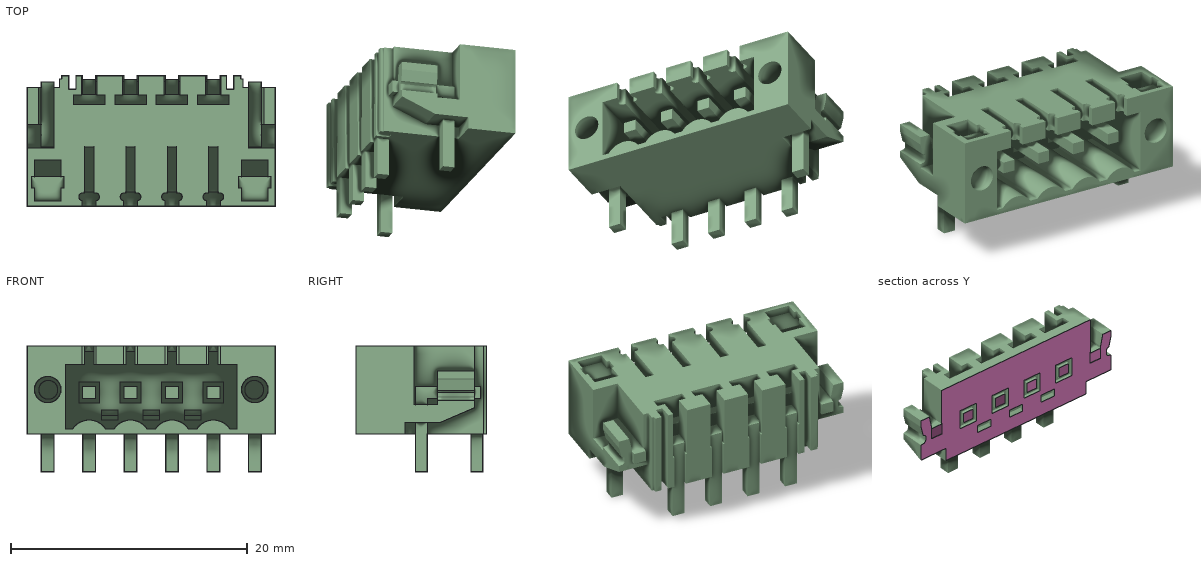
import cadquery as cq

LENGTH = 20.95
DEPTH = 11.05
HEIGHT = 7.45
PITCH = 3.5
CONTACT_COUNT = 4
CONTACT_XS = [(i - (CONTACT_COUNT - 1) / 2) * PITCH for i in range(CONTACT_COUNT)]
GAP_XS = [x + PITCH / 2 for x in CONTACT_XS[:-1]]
FLANGE_X = PITCH * (CONTACT_COUNT + 1) / 2
SIDES = (-1, 1)

PIN_WIDTH = 1.09
PIN_THICK = 1.0
PIN_BOTTOM_Z = -3.18
PIN_TOP_Z = 4.02
PIN_UNDER_Z = PIN_TOP_Z - PIN_THICK
CONTACT_TIP_Y = 1.2
CONTACT_BACK_Y = 10.73
ANCHOR_FRONT_Y = 5.03
ANCHOR_BACK_Y = 10.52

CAVITY_HALF = 7.23
CAVITY_FLOOR_Z = 0.46
CAVITY_CEILING_Z = 5.89
CAVITY_BACK_Y = 7.55
RIDGE_HALF = 1.38
RIDGE_HEIGHT = 0.73

RECESS_DEPTH = 0.42
PIN_RECESS_WIDTH = 1.74
PIN_RECESS_HEIGHT = 1.78
NOTCH_WIDTH = 1.4
NOTCH_BOTTOM_Z = 1.2
NOTCH_STEP_Z = 1.6
NOTCH_TOP_Z = 2.05

SLOT_WIDTH = 0.8
SLOT_BACK_Y = 5.03
SLOT_ROOF_Z = 7.0
LOBE_WIDTH = 1.74
LOBE_FRONT_Y = 0.46
LOBE_BACK_Y = 1.13
MOUTH_WIDTH = 1.2

T_HEAD_WIDTH = 2.66
T_HEAD_FRONT_Y = 8.59
T_HEAD_BACK_Y = 9.39
T_HEAD_FLOOR_Z = 5.24
T_STEM_WIDTH = 1.32
T_STEM_FRONT_Y = 9.45
LEDGE_STEP_Y = 10.55

STEP_OUTER_X = 7.75
STEP_OUTER_Y = 10.04
STEP_INNER_X = 7.56
STEP_INNER_Y = 10.77
END_SLOT_X = 6.66
END_SLOT_WIDTH = 0.6
END_SLOT_FRONT_Y = 9.89

SIDE_WALL_X = 8.21
SIDE_NOTCH_FRONT_Y = 4.9
ARM_TOP_Z = 2.5
ARM_UNDER_Z = 0.98
ARM_UNDER_FRONT_Y = 4.17
ARM_BEND_Y = 7.1
ARM_END_Z = 2.25
LATCH_FRONT_Y = 6.9
LATCH_TOP_Z = 5.35
LATCH_TOP_INNER_X = 9.53
LATCH_INNER_BEND_Z = 4.23
HOOK_SLOPE_TOP_Z = 4.67
HOOK_LIP_X = 10.25
HOOK_LIP_Z = 3.7
HOOK_LIP_RADIUS = 0.42
GROOVE_X = 9.97
GROOVE_TOP_Z = 3.55
GROOVE_BOTTOM_Z = 2.9
GROOVE_RADIUS = 0.25
RIM_Z = 2.83

SCREW_Z = 3.77
SCREW_DIAMETER = 2.22
SCREW_TIP_X = 8.7
SCREW_TIP_Z = 3.75
SCREW_TIP_DIAMETER = 1.6
SCREW_TIP_BACK_Y = 4.4
NUT_BACK_Y = 3.9
NUT_FRONT_Y = 2.51
NUT_WIDTH = 2.22
NUT_FLOOR_Z = 2.51
SHALLOW_DEPTH = 0.71
EAR_WIDTH = 2.72
EAR_FRONT_Y = 1.53
FRONT_STEP_WIDTH = 2.26
FRONT_STEP_Y = 0.46


def box(x_range, y_range, z_range):
    """Axis-aligned block spanning the three given ranges."""
    (x0, x1), (y0, y1), (z0, z1) = x_range, y_range, z_range
    return cq.Workplane("XY").box(x1 - x0, y1 - y0, z1 - z0, centered=False).translate((x0, y0, z0))


def box_at(x, width, y_range, z_range):
    """Block of the given width centred on x."""
    return box((x - width / 2, x + width / 2), y_range, z_range)


def along_y(x, z, diameter, y_range):
    """Round bar along Y."""
    y0, y1 = y_range
    return cq.Workplane("XZ", origin=(x, y0, z)).circle(diameter / 2).extrude(y0 - y1)


def bent_pin(x, vertical_front_y, y_range):
    """Pin with a vertical leg and a level arm that covers y_range."""
    leg_range = (vertical_front_y, vertical_front_y + PIN_THICK)
    leg = box_at(x, PIN_WIDTH, leg_range, (PIN_BOTTOM_Z, PIN_TOP_Z))
    arm = box_at(x, PIN_WIDTH, y_range, (PIN_UNDER_Z, PIN_TOP_Z))
    return leg.union(arm)


def contact_pin(x):
    return bent_pin(x, CONTACT_BACK_Y - PIN_THICK, (CONTACT_TIP_Y, CONTACT_BACK_Y))


def anchor_pin(x):
    return bent_pin(x, ANCHOR_FRONT_Y, (ANCHOR_FRONT_Y, ANCHOR_BACK_Y))


def outer_block():
    """Full-height block with wide front flanges and a stepped back edge."""
    right_half = [
        (LENGTH / 2, 0),
        (LENGTH / 2, SIDE_NOTCH_FRONT_Y),
        (SIDE_WALL_X, SIDE_NOTCH_FRONT_Y),
        (SIDE_WALL_X, STEP_OUTER_Y),
        (STEP_OUTER_X, STEP_OUTER_Y),
        (STEP_OUTER_X, STEP_INNER_Y),
        (STEP_INNER_X, STEP_INNER_Y),
        (STEP_INNER_X, DEPTH),
    ]
    left_half = [(-x, y) for x, y in reversed(right_half)]
    return cq.Workplane("XY").polyline(right_half + left_half).close().extrude(HEIGHT)


def latch_arm(side):
    """Level arm at the foot of the latch, reaching back from the flange."""
    width = LENGTH / 2 - STEP_OUTER_X
    y_range = (SIDE_NOTCH_FRONT_Y, STEP_OUTER_Y)
    return box_at(side * (LENGTH / 2 - width / 2), width, y_range, (0, ARM_TOP_Z))


def latch(side):
    """Upright latch with a hooked, grooved outer face, on a seat that carries the anchor pin."""
    outer_x = LENGTH / 2
    inner_x = FLANGE_X + PIN_WIDTH / 2
    profile = (
        cq.Workplane("XZ", origin=(0, LATCH_FRONT_Y, 0))
        .moveTo(SIDE_WALL_X, ARM_TOP_Z)
        .lineTo(SIDE_WALL_X, PIN_UNDER_Z)
        .lineTo(inner_x, PIN_UNDER_Z)
        .lineTo(inner_x, LATCH_INNER_BEND_Z)
        .lineTo(LATCH_TOP_INNER_X, LATCH_TOP_Z)
        .lineTo(outer_x, LATCH_TOP_Z)
        .lineTo(outer_x, HOOK_SLOPE_TOP_Z)
        .lineTo(HOOK_LIP_X, HOOK_LIP_Z)
        .radiusArc((GROOVE_X, GROOVE_TOP_Z), -HOOK_LIP_RADIUS)
        .lineTo(GROOVE_X, GROOVE_BOTTOM_Z + GROOVE_RADIUS)
        .radiusArc((GROOVE_X + GROOVE_RADIUS, GROOVE_BOTTOM_Z), -GROOVE_RADIUS)
        .lineTo(outer_x, RIM_Z)
        .lineTo(outer_x, ARM_TOP_Z)
        .close()
    )
    solid = profile.extrude(LATCH_FRONT_Y - STEP_OUTER_Y)
    return solid if side > 0 else solid.mirror("YZ")


def under_arm_cut(side):
    """Clearance below the arm, with a ramp rising to the back."""
    profile = [
        (ARM_UNDER_FRONT_Y, 0),
        (ARM_UNDER_FRONT_Y, ARM_UNDER_Z),
        (ARM_BEND_Y, ARM_UNDER_Z),
        (STEP_OUTER_Y, ARM_END_Z),
        (STEP_OUTER_Y, 0),
    ]
    cut = cq.Workplane("YZ").polyline(profile).close().extrude(LENGTH / 2 - STEP_OUTER_X)
    return cut.translate((STEP_OUTER_X if side > 0 else -LENGTH / 2, 0, 0))


def cavity():
    """Open-front plug cavity, less a rounded ridge below each contact."""
    space = box((-CAVITY_HALF, CAVITY_HALF), (0, CAVITY_BACK_Y), (CAVITY_FLOOR_Z, CAVITY_CEILING_Z))
    radius = (RIDGE_HALF**2 + RIDGE_HEIGHT**2) / (2 * RIDGE_HEIGHT)
    ridge_z = CAVITY_FLOOR_Z + RIDGE_HEIGHT - radius
    for x in CONTACT_XS:
        space = space.cut(along_y(x, ridge_z, 2 * radius, (0, CAVITY_BACK_Y)))
    return space


def pin_recess(x):
    middle_z = (PIN_UNDER_Z + PIN_TOP_Z) / 2
    z_range = (middle_z - PIN_RECESS_HEIGHT / 2, middle_z + PIN_RECESS_HEIGHT / 2)
    return box_at(x, PIN_RECESS_WIDTH, (CAVITY_BACK_Y, CAVITY_BACK_Y + RECESS_DEPTH), z_range)


def ramped_notch(x):
    """Small recess whose floor rises toward the back."""
    back_y = CAVITY_BACK_Y + RECESS_DEPTH
    profile = [
        (CAVITY_BACK_Y, NOTCH_BOTTOM_Z),
        (back_y, NOTCH_STEP_Z),
        (back_y, NOTCH_TOP_Z),
        (CAVITY_BACK_Y, NOTCH_TOP_Z),
    ]
    cut = cq.Workplane("YZ").polyline(profile).close().extrude(NOTCH_WIDTH)
    return cut.translate((x - NOTCH_WIDTH / 2, 0, 0))


def keyhole_slot(x):
    """Slot over a contact, with a rounded cross lobe near its mouth."""
    wall = (CAVITY_CEILING_Z, HEIGHT)
    slot = box_at(x, SLOT_WIDTH, (LOBE_FRONT_Y, SLOT_BACK_Y), wall)
    groove = box_at(x, SLOT_WIDTH, (SLOT_BACK_Y, CAVITY_BACK_Y), (CAVITY_CEILING_Z, SLOT_ROOF_Z))
    mouth = box_at(x, MOUTH_WIDTH, (0, LOBE_BACK_Y), wall)
    lobe = (
        cq.Workplane("XY", origin=(x, (LOBE_FRONT_Y + LOBE_BACK_Y) / 2, CAVITY_CEILING_Z))
        .slot2D(LOBE_WIDTH, LOBE_BACK_Y - LOBE_FRONT_Y)
        .extrude(HEIGHT - CAVITY_CEILING_Z)
    )
    return slot.union(groove).union(mouth).union(lobe)


def t_opening(x):
    """T-shaped opening above the leg of a contact; its stem has two ledges."""
    head = box_at(x, T_HEAD_WIDTH, (T_HEAD_FRONT_Y, T_HEAD_BACK_Y), (T_HEAD_FLOOR_Z, HEIGHT))
    neck = box_at(x, T_STEM_WIDTH, (T_HEAD_BACK_Y, DEPTH), (T_HEAD_FLOOR_Z, HEIGHT))
    stem = box_at(x, T_STEM_WIDTH, (T_STEM_FRONT_Y, DEPTH), (PIN_TOP_Z, HEIGHT))
    back_ledge = box_at(x, T_STEM_WIDTH, (LEDGE_STEP_Y, DEPTH), (PIN_UNDER_Z, HEIGHT))
    leg_channel = box_at(x, PIN_WIDTH, (CONTACT_BACK_Y - PIN_THICK, DEPTH), (0, HEIGHT))
    return head.union(neck).union(stem).union(back_ledge).union(leg_channel)


def end_slot(side):
    return box_at(side * END_SLOT_X, END_SLOT_WIDTH, (END_SLOT_FRONT_Y, DEPTH), (0, HEIGHT))


def screw_hole(side):
    """Wide hole from the front into the nut pocket, and a blind hole beyond it for the screw tip."""
    entry = along_y(side * FLANGE_X, SCREW_Z, SCREW_DIAMETER, (0, NUT_FRONT_Y))
    tip = along_y(side * SCREW_TIP_X, SCREW_TIP_Z, SCREW_TIP_DIAMETER, (NUT_FRONT_Y, SCREW_TIP_BACK_Y))
    return entry.union(tip)


def nut_pocket(side):
    """Deep pocket at the back and a shallow stepped one in front of it."""
    x = side * FLANGE_X
    shallow = (HEIGHT - SHALLOW_DEPTH, HEIGHT)
    deep = box_at(x, NUT_WIDTH, (NUT_FRONT_Y, NUT_BACK_Y), (NUT_FLOOR_Z, HEIGHT))
    ears = box_at(x, EAR_WIDTH, (EAR_FRONT_Y, NUT_FRONT_Y), shallow)
    front = box_at(x, FRONT_STEP_WIDTH, (FRONT_STEP_Y, EAR_FRONT_Y), shallow)
    return deep.union(ears).union(front)


def make_housing(pins):
    """Housing with a matching hole for every pin."""
    body = outer_block()
    for side in SIDES:
        body = body.union(latch_arm(side)).union(latch(side))
        body = body.cut(under_arm_cut(side)).cut(end_slot(side))
        body = body.cut(screw_hole(side)).cut(nut_pocket(side))
    body = body.cut(cavity())
    for x in CONTACT_XS:
        body = body.cut(pin_recess(x)).cut(keyhole_slot(x)).cut(t_opening(x))
    for x in GAP_XS:
        body = body.cut(ramped_notch(x))
    for pin in pins:
        body = body.cut(pin)
    return body


contact_pins = [contact_pin(x) for x in CONTACT_XS]
anchor_pins = [anchor_pin(side * FLANGE_X) for side in SIDES]
housing = make_housing(contact_pins + anchor_pins)

result = cq.Compound.makeCompound(
    [housing.val(), *[pin.val() for pin in contact_pins], *[pin.val() for pin in anchor_pins]]
)